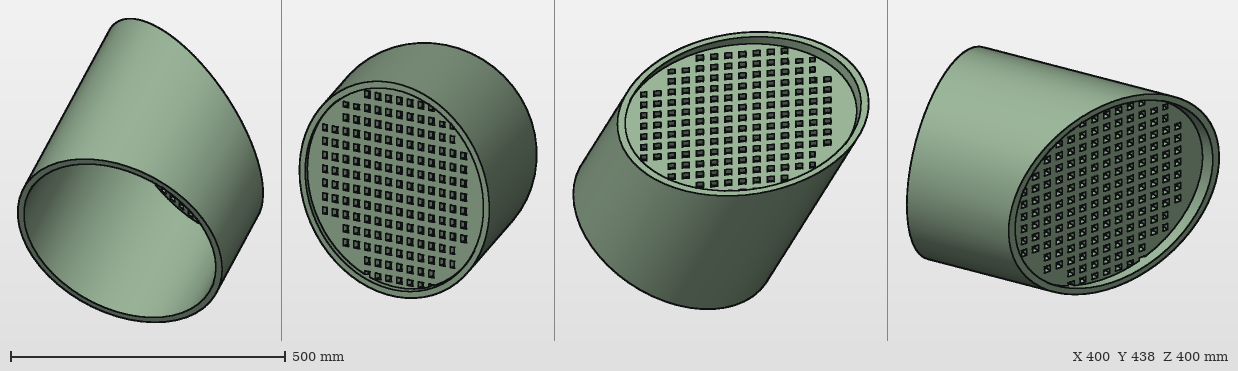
import cadquery as cq
import math

LENGTH = 438.0
OUTER_DIAMETER = 400.0
INNER_DIAMETER = 375.5
SLANT_ANGLE = 30.0

PLATE_THICKNESS = 12.0
PLATE_RECESS = 18.0

BAND_LENGTH = 359.0
BAND_WIDTH = 180.0
SQUARE_SIDE = 280.0

GRID_COUNT = 14
GRID_SPAN = 338.0
OPENING = 12.5
GRID_MARGIN = 10.5

slant_sine = math.sin(math.radians(SLANT_ANGLE))
slant_cosine = math.cos(math.radians(SLANT_ANGLE))
slant_drop = OUTER_DIAMETER * math.tan(math.radians(SLANT_ANGLE))
slant_middle_y = (LENGTH - slant_drop) / 2
plate_middle_y = slant_middle_y - PLATE_RECESS / slant_cosine
opening_pitch = GRID_SPAN / (GRID_COUNT - 1)
grid_shift = (GRID_SPAN + OPENING - BAND_LENGTH) / 2 + GRID_MARGIN
oversize = 3 * LENGTH


def slanted_plane(middle_y):
    """Plane across the tube axis: local x along the slant to +X, local y down, local z out of the tube."""
    return cq.Plane(
        origin=(0, middle_y, 0),
        xDir=(slant_cosine, -slant_sine, 0),
        normal=(slant_sine, slant_cosine, 0),
    )


def slanted_cylinder(diameter):
    """Cylinder along Y with a square lower end and a slanted upper end."""
    blank = cq.Workplane("XZ", origin=(0, -LENGTH / 2, 0)).circle(diameter / 2).extrude(-LENGTH)
    waste = cq.Workplane(slanted_plane(slant_middle_y)).rect(oversize, oversize).extrude(LENGTH)
    return blank.cut(waste)


def make_tube():
    return slanted_cylinder(OUTER_DIAMETER).cut(slanted_cylinder(INNER_DIAMETER))


def plate_layer(width, height):
    """Block as thick as the plate, centred on the tube axis at the outer face of the plate."""
    return cq.Workplane(slanted_plane(plate_middle_y)).rect(width, height).extrude(-PLATE_THICKNESS)


def make_perforations():
    """All the openings, square to the plate."""
    area = (
        plate_layer(BAND_LENGTH, BAND_WIDTH)
        .union(plate_layer(BAND_WIDTH, BAND_LENGTH))
        .union(plate_layer(SQUARE_SIDE, SQUARE_SIDE))
    )
    grid = (
        cq.Workplane(slanted_plane(plate_middle_y))
        .center(grid_shift, grid_shift)
        .rarray(opening_pitch, opening_pitch, GRID_COUNT, GRID_COUNT)
        .rect(OPENING, OPENING)
        .extrude(-PLATE_THICKNESS)
    )
    return grid.intersect(area)


def make_plate():
    disc = slanted_cylinder(INNER_DIAMETER).intersect(plate_layer(oversize, oversize))
    return disc.cut(make_perforations())


tube = make_tube()
plate = make_plate()
result = cq.Compound.makeCompound([tube.val(), plate.val()])